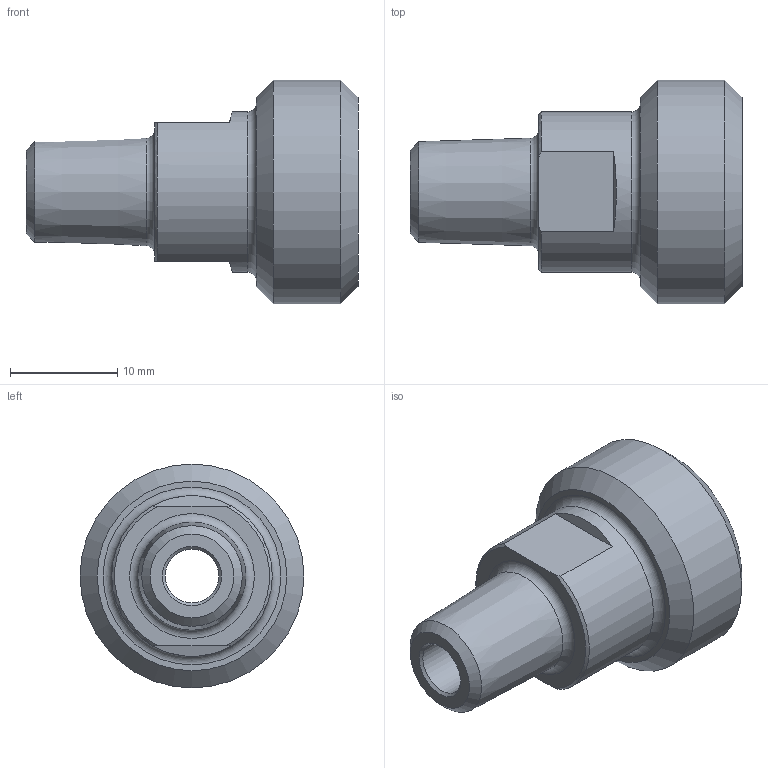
import cadquery as cq
import math

body_start = 12.0
head_start = 21.5
total_length = 31.0

nose_tip_radius = 4.675
nose_taper = 1 / 32
nose_chamfer = 0.8

body_diameter = 15.0
body_chamfer = 0.25
flat_spacing = 13.0
flat_end = 19.0
flat_runout_angle = 15.0
cutter_clearance = 1.0

head_diameter = 20.9
head_chamfer = 1.6

bore_diameter = 5.0
bore_chamfer = 0.25

root_fillet = 0.8

nose_root_radius = nose_tip_radius + nose_taper * body_start
body_radius = body_diameter / 2
head_radius = head_diameter / 2
bore_radius = bore_diameter / 2


def shoulder_edge(x, radius):
    """Selector for the circular edge of the given radius at station x."""
    margin = 0.05
    reach = radius + margin
    return cq.selectors.BoxSelector(
        (x - margin, -reach, -reach), (x + margin, reach, reach), boundingbox=True
    )


def make_turned_body():
    """Solid of revolution about X, with filleted shoulders."""
    nose_shoulder_radius = nose_tip_radius + nose_taper * nose_chamfer
    profile = (
        cq.Workplane("XY")
        .moveTo(0, 0)
        .lineTo(0, nose_shoulder_radius - nose_chamfer)
        .lineTo(nose_chamfer, nose_shoulder_radius)
        .lineTo(body_start, nose_root_radius)
        .lineTo(body_start, body_radius - body_chamfer)
        .lineTo(body_start + body_chamfer, body_radius)
        .lineTo(head_start, body_radius)
        .lineTo(head_start, head_radius - head_chamfer)
        .lineTo(head_start + head_chamfer, head_radius)
        .lineTo(total_length - head_chamfer, head_radius)
        .lineTo(total_length, head_radius - head_chamfer)
        .lineTo(total_length, 0)
        .close()
    )
    turned = profile.revolve(360, (0, 0, 0), (1, 0, 0))
    for x, radius in ((body_start, nose_root_radius), (head_start, body_radius)):
        turned = turned.edges(shoulder_edge(x, radius)).fillet(root_fillet)
    return turned


def make_flat_cutter():
    """Block that removes the material above the upper wrench flat."""
    flat_height = flat_spacing / 2
    cutter_top = body_radius + cutter_clearance
    runout = (cutter_top - flat_height) * math.tan(math.radians(flat_runout_angle))
    return (
        cq.Workplane("XZ")
        .moveTo(body_start, flat_height)
        .lineTo(flat_end, flat_height)
        .lineTo(flat_end + runout, cutter_top)
        .lineTo(body_start, cutter_top)
        .close()
        .extrude(body_radius, both=True)
    )


def make_bore_cutter():
    """Through bore with a small chamfer at the nose tip."""
    return (
        cq.Workplane("XY")
        .moveTo(0, 0)
        .lineTo(0, bore_radius + bore_chamfer)
        .lineTo(bore_chamfer, bore_radius)
        .lineTo(total_length, bore_radius)
        .lineTo(total_length, 0)
        .close()
        .revolve(360, (0, 0, 0), (1, 0, 0))
    )


upper_flat = make_flat_cutter()
lower_flat = upper_flat.mirror("XY")

result = make_turned_body().cut(upper_flat).cut(lower_flat).cut(make_bore_cutter())